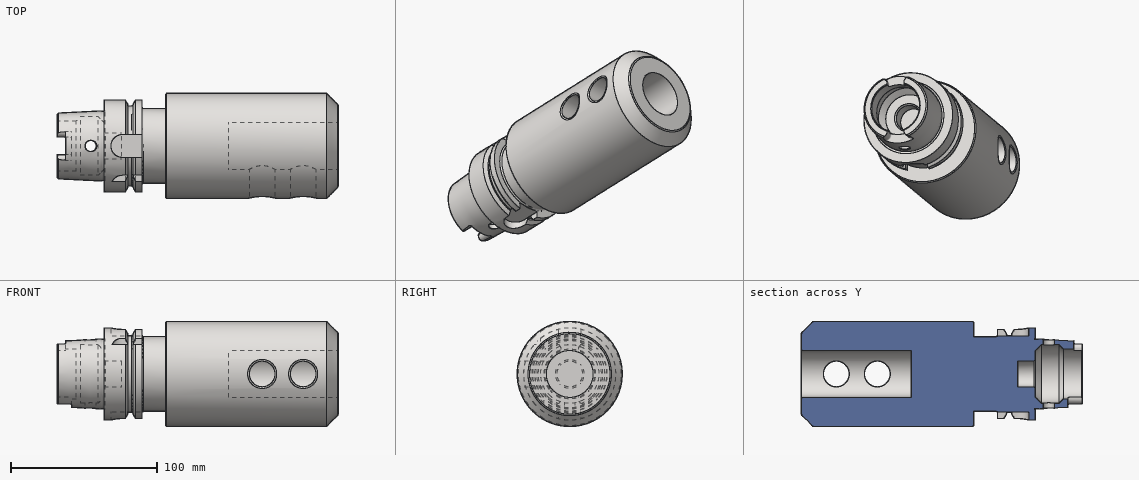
import cadquery as cq
import math


shank_length = 32.0
flange_end = 26.0
body_start = 42.0
body_end = 160.0

taper_slope = 0.05
taper_end = -2.4
taper_end_radius = 24.0
shank_chamfer_length = 0.9
shank_face_radius = 21.6
relief_radius = 23.8
relief_face_radius = 25.3
relief_ramp_end = -1.2
relief_depth = 0.6

mouth_radius = 17.0
mouth_chamfer = 0.6
mouth_depth = 13.0
clamp_radius = 20.0
shank_bore_depth = shank_length
bore_floor_radius = 16.0
tube_thread_radius = 8.8
tube_thread_depth = 12.0
tube_chamfer = 1.0

flange_radius = 31.5
groove_centre = 18.0
groove_mouth = 7.0
groove_floor = 3.6
groove_radius = 27.5
groove_side_angle = 60.0
groove_corner = 1.0

neck_radius = 25.6
neck_fillet = 1.0
body_radius = 36.0
body_edge_chamfer = 0.8
nose_chamfer = 8.0
nose_rim_chamfer = 0.5

drive_slot_width = 12.0
drive_slot_edge_radius = 3.5
drive_slot_corner = 0.8
drive_slot_depth_top = 5.8
drive_slot_depth_bottom = 9.8
drive_slot_top = 20.6

access_hole_diameter = 7.5
access_hole_chamfer = 0.4
access_hole_x = -9.1

pocket_width = 15.6
pocket_nose_x = 4.7
pocket_floor = 26.0
notch_wall_y = 20.0
notch_floor = 20.2

tool_bore_diameter = 32.0
tool_bore_depth = 75.0
screw_hole_diameter = 17.5
screw_chamfer_width = 1.2
screw_chamfer_depth = 0.5
screw_from_end = 24.0
screw_pitch = 28.0
screw_count = 2


def revolve_about_axis(profile):
    return profile.close().revolve(360, (0, 0, 0), (1, 0, 0))


def turned_outside():
    chamfer_x = -shank_length + shank_chamfer_length
    chamfer_radius = taper_end_radius - taper_slope * (taper_end - chamfer_x)
    nose_face_radius = body_radius - nose_chamfer - nose_rim_chamfer
    side_drop = (groove_mouth - groove_floor) / 2 * math.tan(math.radians(groove_side_angle))
    side_radius = flange_radius - side_drop
    floor_left = groove_centre - groove_floor / 2
    floor_right = groove_centre + groove_floor / 2
    profile = (
        cq.Workplane("XY")
        .moveTo(-shank_length, 0)
        .lineTo(-shank_length, shank_face_radius)
        .lineTo(chamfer_x, chamfer_radius)
        .lineTo(taper_end, taper_end_radius)
        .lineTo(relief_ramp_end, relief_radius)
        .lineTo(relief_depth, relief_radius)
        .lineTo(0, relief_face_radius)
        .lineTo(0, flange_radius)
        .lineTo(groove_centre - groove_mouth / 2, flange_radius)
        .lineTo(floor_left, side_radius)
        .lineTo(floor_left, groove_radius)
        .lineTo(floor_right - groove_corner, groove_radius)
        .radiusArc((floor_right, groove_radius + groove_corner), -groove_corner)
        .lineTo(floor_right, side_radius)
        .lineTo(groove_centre + groove_mouth / 2, flange_radius)
        .lineTo(flange_end, flange_radius)
        .lineTo(flange_end, neck_radius + neck_fillet)
        .radiusArc((flange_end + neck_fillet, neck_radius), -neck_fillet)
        .lineTo(body_start, neck_radius)
        .lineTo(body_start, body_radius - body_edge_chamfer)
        .lineTo(body_start + body_edge_chamfer, body_radius)
        .lineTo(body_end - nose_chamfer, body_radius)
        .lineTo(body_end - nose_rim_chamfer, body_radius - nose_chamfer + nose_rim_chamfer)
        .lineTo(body_end, nose_face_radius)
        .lineTo(body_end, 0)
    )
    return revolve_about_axis(profile)


def shank_bore():
    mouth_end = -shank_length + mouth_depth
    step = clamp_radius - mouth_radius
    floor_x = -shank_length + shank_bore_depth
    floor_cone = clamp_radius - bore_floor_radius
    tube_end = floor_x + tube_thread_depth
    profile = (
        cq.Workplane("XY")
        .moveTo(-shank_length, 0)
        .lineTo(-shank_length, mouth_radius + mouth_chamfer)
        .lineTo(-shank_length + mouth_chamfer, mouth_radius)
        .lineTo(mouth_end, mouth_radius)
        .lineTo(mouth_end + step, clamp_radius)
        .lineTo(floor_x - floor_cone, clamp_radius)
        .lineTo(floor_x, bore_floor_radius)
        .lineTo(floor_x, tube_thread_radius + tube_chamfer)
        .lineTo(floor_x + tube_chamfer, tube_thread_radius)
        .lineTo(tube_end, tube_thread_radius)
        .lineTo(tube_end, 0)
    )
    return revolve_about_axis(profile)


def drive_slot(depth):
    """Slot open to +Z whose walls flare outward in a rounded edge, with filleted floor corners."""
    half = drive_slot_width / 2
    flare = half + drive_slot_edge_radius
    open_half = half + 2 * drive_slot_edge_radius
    flare_start = drive_slot_top - drive_slot_edge_radius
    return (
        cq.Workplane("YZ", origin=(-shank_length, 0, 0))
        .moveTo(-half, 0)
        .lineTo(-half, flare_start)
        .radiusArc((-flare, drive_slot_top), -drive_slot_edge_radius)
        .lineTo(-open_half, drive_slot_top)
        .lineTo(-open_half, body_radius)
        .lineTo(open_half, body_radius)
        .lineTo(open_half, drive_slot_top)
        .lineTo(flare, drive_slot_top)
        .radiusArc((half, flare_start), -drive_slot_edge_radius)
        .lineTo(half, 0)
        .close()
        .extrude(depth)
        .faces(">X")
        .edges()
        .fillet(drive_slot_corner)
    )


def access_hole():
    """Hole through both walls of the shank, chamfered where it breaks out."""
    radius = access_hole_diameter / 2
    surface_radius = taper_end_radius - taper_slope * (taper_end - access_hole_x)
    length = 2 * surface_radius
    return (
        cq.Workplane("XZ", origin=(access_hole_x, 0, 0))
        .moveTo(0, -length)
        .lineTo(radius + access_hole_chamfer, -length)
        .lineTo(radius + access_hole_chamfer, -surface_radius)
        .lineTo(radius, -surface_radius + access_hole_chamfer)
        .lineTo(radius, surface_radius - access_hole_chamfer)
        .lineTo(radius + access_hole_chamfer, surface_radius)
        .lineTo(radius + access_hole_chamfer, length)
        .lineTo(0, length)
        .close()
        .revolve(360, (0, 0, 0), (0, 1, 0))
    )


def round_nosed_pocket(centre_y, floor_z):
    """Pocket from the neck side of the flange, closed by a full round."""
    radius = pocket_width / 2
    nose_centre = pocket_nose_x + radius
    return (
        cq.Workplane("XY", origin=(0, 0, floor_z))
        .moveTo(flange_end, centre_y - radius)
        .lineTo(nose_centre, centre_y - radius)
        .threePointArc((pocket_nose_x, centre_y), (nose_centre, centre_y + radius))
        .lineTo(flange_end, centre_y + radius)
        .close()
        .extrude(flange_radius - floor_z)
    )


def cut_screw_hole(part, x):
    """Radial hole from -Y into the tool bore, chamfered along its curved rim."""
    radius = screw_hole_diameter / 2
    hole = cq.Workplane("XZ", origin=(x, 0, 0)).circle(radius).extrude(body_radius)
    rim_zone = cq.selectors.BoxSelector(
        (x - radius, -body_radius, -radius),
        (x + radius, -math.sqrt(body_radius**2 - radius**2), radius),
    )
    return part.cut(hole).edges(rim_zone).edges("not %LINE").chamfer(
        screw_chamfer_width, screw_chamfer_depth
    )


tool_bore = (
    cq.Workplane("YZ", origin=(body_end - tool_bore_depth, 0, 0))
    .circle(tool_bore_diameter / 2)
    .extrude(tool_bore_depth)
)
top_pocket = round_nosed_pocket(0, pocket_floor)

result = turned_outside().cut(shank_bore()).cut(tool_bore)
result = result.cut(drive_slot(drive_slot_depth_top))
result = result.cut(drive_slot(drive_slot_depth_bottom).mirror("XY"))
result = result.cut(access_hole())
result = result.cut(top_pocket).cut(top_pocket.mirror("XY"))
result = result.cut(round_nosed_pocket(-notch_wall_y - pocket_width / 2, notch_floor))
for index in range(screw_count):
    result = cut_screw_hole(result, body_end - screw_from_end - index * screw_pitch)